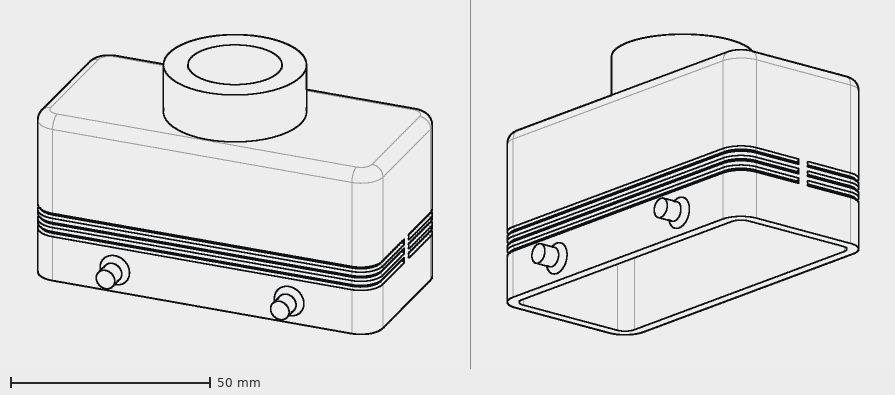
import cadquery as cq

LENGTH = 93.5
WIDTH = 42.9
HEIGHT = 45.0
CORNER_RADIUS = 6.0
TOP_FILLET = 3.0
WALL = 3.0

TOTAL_HEIGHT = 58.0
COLLAR_DIAMETER = 36.0
BORE_TOP_DIAMETER = 23.7
BORE_BOTTOM_DIAMETER = 23.1

GROOVE_COUNT = 3
GROOVE_DEPTH = 0.7
GROOVE_FLOOR = 0.1
GROOVE_PITCH = 2.5
LOWEST_GROOVE_Z = 12.9
GROOVE_GAP = 3.0

PEG_SPACING = 47.5
PEG_Z = 6.0
PEG_DIAMETER = 5.05
PEG_TIP_SPAN = 55.0
PEG_ROOT_DIAMETER = 8.0
PEG_ROOT_LENGTH = 1.5


def rounded_block(length, width, height, corner_radius):
    """A block standing on the XY plane with rounded upright edges."""
    return cq.Workplane("XY").rect(length, width).extrude(height).edges("|Z").fillet(corner_radius)


def make_body():
    block = rounded_block(LENGTH, WIDTH, HEIGHT, CORNER_RADIUS)
    return block.faces(">Z").edges().fillet(TOP_FILLET)


def make_cavity():
    """The hollow inside, leaving an even wall round the sides and across the roof."""
    return rounded_block(LENGTH - 2 * WALL, WIDTH - 2 * WALL, HEIGHT - WALL, CORNER_RADIUS - WALL)


def make_collar():
    base = cq.Workplane("XY").workplane(offset=HEIGHT)
    return base.circle(COLLAR_DIAMETER / 2).extrude(TOTAL_HEIGHT - HEIGHT)


def make_bore():
    """A cone frustum from the underside of the roof to the top of the collar."""
    ceiling_z = HEIGHT - WALL
    return (
        cq.Workplane("XY")
        .workplane(offset=ceiling_z)
        .circle(BORE_BOTTOM_DIAMETER / 2)
        .workplane(offset=TOTAL_HEIGHT - ceiling_z)
        .circle(BORE_TOP_DIAMETER / 2)
        .loft(ruled=True)
    )


def make_groove(z):
    """A hexagonal bar along the body outline, cut away where the groove is interrupted.

    Its inner half is the groove and its outer half lies clear of the body.
    """
    slab = rounded_block(LENGTH, WIDTH, HEIGHT, CORNER_RADIUS)
    outline = slab.faces("<Z").wires().val().translate(cq.Vector(0, 0, z))
    section_plane = cq.Plane(outline.positionAt(0), xDir=(0, 0, 1), normal=outline.tangentAt(0))
    half_floor = GROOVE_FLOOR / 2
    half_mouth = half_floor + GROOVE_DEPTH
    hexagon = [
        (half_mouth, 0),
        (half_floor, GROOVE_DEPTH),
        (-half_floor, GROOVE_DEPTH),
        (-half_mouth, 0),
        (-half_floor, -GROOVE_DEPTH),
        (half_floor, -GROOVE_DEPTH),
    ]
    bar = cq.Workplane(section_plane).polyline(hexagon).close().sweep(cq.Workplane(outline))
    gap = cq.Workplane("XY").box(2 * LENGTH, GROOVE_GAP, 4 * half_mouth).translate((0, 0, z))
    return bar.cut(gap)


def make_peg(x):
    """A peg pointing along +Y, rooted inside the wall."""
    face_y = WIDTH / 2
    buried_y = face_y - WALL / 2
    root_end_y = face_y + PEG_ROOT_LENGTH
    tip_y = PEG_TIP_SPAN / 2
    root_radius = PEG_ROOT_DIAMETER / 2
    peg_radius = PEG_DIAMETER / 2
    profile = [
        (0, buried_y),
        (root_radius, buried_y),
        (root_radius, face_y),
        (peg_radius, root_end_y),
        (peg_radius, tip_y),
        (0, tip_y),
    ]
    peg = cq.Workplane("XY").polyline(profile).close().revolve(360, (0, 0), (0, 1))
    return peg.translate((x, 0, PEG_Z))


result = make_body().union(make_collar())
result = result.cut(make_cavity()).cut(make_bore())

for index in range(GROOVE_COUNT):
    result = result.cut(make_groove(LOWEST_GROOVE_Z + index * GROOVE_PITCH))

for peg_x in (-PEG_SPACING / 2, PEG_SPACING / 2):
    peg = make_peg(peg_x)
    result = result.union(peg).union(peg.mirror("XZ"))